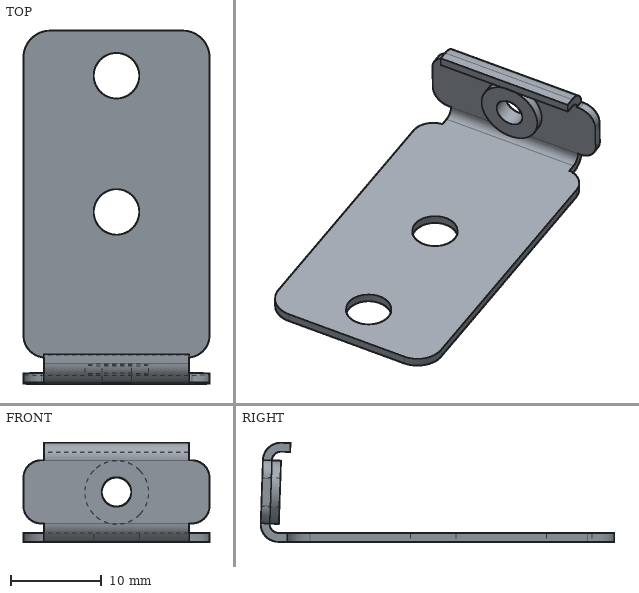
import cadquery as cq
import math

width = 20.5
length = 38.93
thickness = 1.0
bend_radius = 2.0
lean = 2.0

base_front = 2.92
front_corner_radius = 2.5
back_corner_radius = 3.0
base_hole_diameter = 5.0
back_hole_inset = 5.0
base_hole_spacing = 15.0

strip_width = 16.0
upright_height = 6.95
upright_corner_radius = 2.0
lip_length = 1.0

boss_diameter = 7.0
boss_height = 1.0
screw_hole_diameter = 3.25

inner_radius = bend_radius - thickness
overlap = 0.4

lean_angle = math.radians(lean)
upright_start = (
    0,
    bend_radius * (1 - math.cos(lean_angle)),
    bend_radius * (1 + math.sin(lean_angle)),
)
upright_plane = cq.Plane(
    origin=upright_start,
    xDir=(1, 0, 0),
    normal=(0, -math.cos(lean_angle), math.sin(lean_angle)),
)


def make_base():
    depth = length - base_front
    plate = cq.Workplane("XY").box(width, depth, thickness, centered=(True, False, False))
    plate = plate.translate((0, base_front, 0))
    plate = plate.edges("|Z and <Y").fillet(front_corner_radius)
    plate = plate.edges("|Z and >Y").fillet(back_corner_radius)
    back_hole_y = length - back_hole_inset
    holes = (
        cq.Workplane("XY")
        .pushPoints([(0, back_hole_y), (0, back_hole_y - base_hole_spacing)])
        .circle(base_hole_diameter / 2)
        .extrude(thickness)
    )
    return plate.cut(holes)


def side_point(radius, angle):
    """Point (y, z) about the lower bend centre, angle measured from straight down toward the front."""
    turn = math.radians(angle)
    return (bend_radius - radius * math.sin(turn), bend_radius - radius * math.cos(turn))


def make_lower_bend():
    sweep = 90 + lean
    tail = base_front + overlap
    return (
        cq.Workplane("YZ")
        .moveTo(tail, 0)
        .lineTo(*side_point(bend_radius, 0))
        .threePointArc(side_point(bend_radius, sweep / 2), side_point(bend_radius, sweep))
        .lineTo(*side_point(inner_radius, sweep))
        .threePointArc(side_point(inner_radius, sweep / 2), side_point(inner_radius, 0))
        .lineTo(tail, thickness)
        .close()
        .extrude(strip_width / 2, both=True)
    )


def make_upright():
    middle = upright_height / 2
    plate = (
        cq.Workplane(upright_plane)
        .center(0, middle)
        .sketch()
        .rect(width, upright_height)
        .vertices()
        .fillet(upright_corner_radius)
        .finalize()
        .extrude(-thickness)
    )
    full_depth = thickness + boss_height
    boss = (
        cq.Workplane(upright_plane)
        .center(0, middle)
        .circle(boss_diameter / 2)
        .extrude(-boss_height)
        .translate(upright_plane.zDir * -thickness)
    )
    hole = (
        cq.Workplane(upright_plane)
        .center(0, middle)
        .circle(screw_hole_diameter / 2)
        .extrude(-full_depth)
    )
    return plate.union(boss).cut(hole)


def make_lip():
    profile_plane = cq.Plane(
        origin=upright_start, xDir=upright_plane.zDir * -1, normal=(1, 0, 0)
    )
    diagonal = math.sqrt(0.5)
    top = upright_height + bend_radius
    lip_end = bend_radius + lip_length

    def bend_middle(radius):
        return (bend_radius - radius * diagonal, upright_height + radius * diagonal)

    return (
        cq.Workplane(profile_plane)
        .moveTo(0, upright_height)
        .threePointArc(bend_middle(bend_radius), (bend_radius, top))
        .lineTo(lip_end, top)
        .lineTo(lip_end, top - thickness)
        .lineTo(bend_radius, top - thickness)
        .threePointArc(bend_middle(inner_radius), (thickness, upright_height))
        .close()
        .extrude(strip_width / 2, both=True)
    )


result = make_base().union(make_lower_bend()).union(make_upright()).union(make_lip())